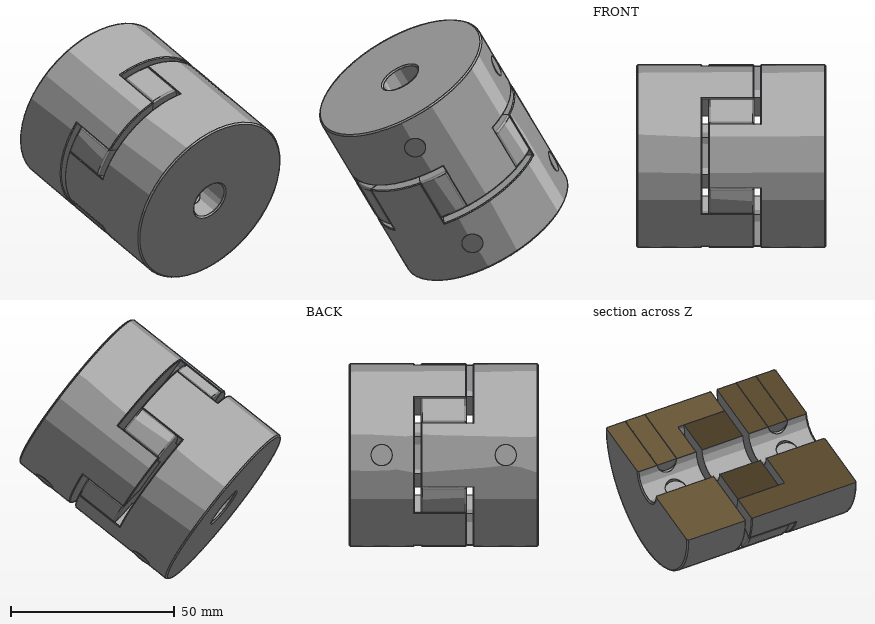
import cadquery as cq
import math


overall_length = 58.0
outer_radius = 28.0
bore_radius = 6.0

hub_length = 20.0
spider_width = 14.0
hub_gap = overall_length - 2 * hub_length
face_clearance = (hub_gap - spider_width) / 2
jaw_length = face_clearance + spider_width

jaws_per_hub = 3
jaw_pitch = 360 / jaws_per_hub
left_jaw_angle = 0
right_jaw_angle = left_jaw_angle + jaw_pitch / 2
jaw_inner_radius = 18.25
jaw_inner_half_angle = 18.1
jaw_outer_half_angle = 21.0
jaw_side_radius = 18.55

end_chamfer = 0.45
jaw_chamfer = 0.3
spider_fillet = 0.5

screw_radius = 3.25
screw_length = outer_radius - bore_radius
screw_angles = (0, -90)
screw_inset = hub_length / 2

margin = 0.6
tolerance = 0.005


def polar(radius, angle):
    """Point at the given radius and angle in degrees, measured from +Y toward +Z."""
    return (radius * math.cos(math.radians(angle)), radius * math.sin(math.radians(angle)))


def cylinder(radius, start, length):
    """Solid cylinder on the X axis."""
    plane = cq.Plane(origin=(start, 0, 0), xDir=(0, 0, 1), normal=(1, 0, 0))
    return cq.Workplane(plane).circle(radius).extrude(length)


def about_axis(body, angle):
    """The body turned about the X axis."""
    return body.rotate((0, 0, 0), (1, 0, 0), angle)


def jaw_side_center():
    """Center of the arc that joins the inner and outer corner of one concave jaw side."""
    inner_y, inner_z = polar(jaw_inner_radius, jaw_inner_half_angle)
    outer_y, outer_z = polar(outer_radius, jaw_outer_half_angle)
    chord = math.hypot(outer_y - inner_y, outer_z - inner_z)
    along_y = (outer_y - inner_y) / chord
    along_z = (outer_z - inner_z) / chord
    offset = math.sqrt(jaw_side_radius**2 - (chord / 2) ** 2)
    return (
        (inner_y + outer_y) / 2 - along_z * offset,
        (inner_z + outer_z) / 2 + along_y * offset,
    )


def jaw_prisms(first_angle):
    """Three jaw-shaped prisms that span the hub gap and run a little past the outer radius."""
    center_y, center_z = jaw_side_center()
    reach = outer_radius + margin
    prism = (
        cq.Workplane("YZ", origin=(hub_length, reach / 2, 0))
        .rect(reach, reach)
        .extrude(hub_gap)
        .cut(cylinder(jaw_inner_radius, hub_length, hub_gap))
    )
    for side in (1, -1):
        relief = cq.Workplane("YZ", origin=(hub_length, center_y, side * center_z))
        prism = prism.cut(relief.circle(jaw_side_radius).extrude(hub_gap))
    return [about_axis(prism, first_angle + index * jaw_pitch) for index in range(jaws_per_hub)]


def rim_edges(body, start):
    """Edges on the outer cylinder whose every point has X of at least start."""

    def on_rim(edge):
        points = [edge.positionAt(fraction) for fraction in (0, 0.5, 1)]
        return all(
            abs(math.hypot(point.y, point.z) - outer_radius) < tolerance
            and point.x > start - tolerance
            for point in points
        )

    return body.newObject([edge for edge in body.edges().vals() if on_rim(edge)])


def screw_cylinder(angle, start_radius, length):
    """Radial cylinder at the mid length of the left hub."""
    upright = cq.Workplane("XZ", origin=(screw_inset, start_radius, 0)).circle(screw_radius)
    return about_axis(upright.extrude(-length), angle)


def to_right_end(body):
    """The body mirrored from the left end of the coupling to the right end."""
    return body.mirror("YZ").translate((overall_length, 0, 0))


def make_hub(first_jaw_angle):
    """Left-end hub with its jaws pointing toward +X."""
    pockets = cylinder(outer_radius + margin, hub_length, jaw_length)
    for prism in jaw_prisms(first_jaw_angle):
        pockets = pockets.cut(prism)
    hub = cylinder(outer_radius, 0, hub_length + jaw_length).cut(pockets)
    hub = rim_edges(hub, hub_length).chamfer(jaw_chamfer)
    hub = hub.cut(cylinder(bore_radius, 0, hub_length))
    hub = hub.faces("<X").edges().chamfer(end_chamfer)
    for angle in screw_angles:
        hub = hub.cut(screw_cylinder(angle, 0, outer_radius + margin))
    return hub


def make_spider():
    """Ring with six rounded teeth that fill the spaces between the jaws of both hubs."""
    start = hub_length + face_clearance
    spider = cylinder(outer_radius, start, spider_width)
    for prism in jaw_prisms(left_jaw_angle) + jaw_prisms(right_jaw_angle):
        spider = spider.cut(prism)
    spider = rim_edges(spider, start).fillet(spider_fillet)
    return spider.cut(cylinder(bore_radius, start, spider_width))


def make_set_screw(angle):
    """Left-end set screw from the bore out to the hub surface, with flat ends."""
    return screw_cylinder(angle, bore_radius, screw_length)


left_hub = make_hub(left_jaw_angle)
right_hub = to_right_end(make_hub(right_jaw_angle))
spider = make_spider()

set_screws = []
for angle in screw_angles:
    screw = make_set_screw(angle)
    set_screws.append(screw.val())
    set_screws.append(to_right_end(screw).val())

result = cq.Compound.makeCompound([left_hub.val(), right_hub.val(), spider.val(), *set_screws])